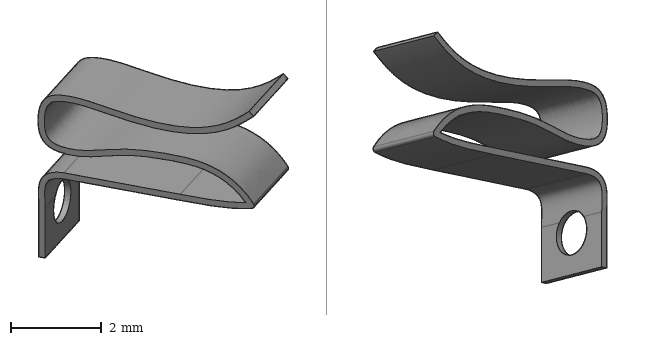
import cadquery as cq
import math

width = 2.0
thickness = 0.152

leg_x = 0.095
leg_straight_top = 1.25
hole_diameter = 1.0
hole_height = 0.95

shelf_z = 2.12
shelf_start_x = 0.62
shelf_end_x = 3.4
leg_bend_point = (0.19, 1.97)
tip = (5.09, 2.245)
tip_rise_angle = 14.0

lower_throat = (3.14, 3.065)
heel_bottom = (0.74, 2.742)
heel_back = (0.075, 3.36)
heel_top = (0.74, 4.04)
upper_throat = (3.16, 3.785)
arm_points = [
    tip,
    (4.59, 2.735),
    (3.95, 3.00),
    lower_throat,
    (1.95, 2.96),
    (1.25, 2.79),
    heel_bottom,
    (0.215, 2.905),
    heel_back,
    (0.25, 3.915),
    heel_top,
    (1.57, 3.948),
    (2.40, 3.825),
    upper_throat,
    (4.11, 3.925),
    (4.70, 4.205),
    (5.20, 4.595),
]
arm_start_angle = 125.0
arm_end_angle = 39.0

lip_top_corner = (5.05, 4.555)
lip_cut_angle = -43.0
lip_cut_size = 1.0

offset_steps = 60


def direction(angle):
    """Unit vector in the XZ profile plane, angle in degrees from +X toward +Z."""
    return (math.cos(math.radians(angle)), math.sin(math.radians(angle)))


def in_profile(point):
    """Vector in the XZ profile plane."""
    return cq.Vector(point[0], 0, point[1])


def curve(points, start_angle, end_angle):
    """Smooth centreline edge through the points with given end directions."""
    tangents = [in_profile(direction(start_angle)), in_profile(direction(end_angle))]
    return cq.Edge.makeSpline([in_profile(point) for point in points], tangents=tangents, scale=False)


def line(start, end):
    """Straight centreline edge."""
    return cq.Edge.makeLine(in_profile(start), in_profile(end))


def offset_edge(edge, distance):
    """Edge running beside a centreline edge, on its left for a positive distance."""
    straight = edge.geomType() == "LINE"
    steps = 1 if straight else offset_steps
    params = [step / steps for step in range(steps + 1)]
    tangents = [edge.tangentAt(param) for param in params]
    points = [
        edge.positionAt(param) + cq.Vector(-tangent.z, 0, tangent.x) * distance
        for param, tangent in zip(params, tangents)
    ]
    if straight:
        return cq.Edge.makeLine(*points)
    return cq.Edge.makeSpline(points, tangents=[tangents[0], tangents[-1]], scale=False)


def make_strip(centreline):
    """Strip of constant thickness along a chain of tangent edges, centred on Y = 0."""
    left = [offset_edge(edge, thickness / 2) for edge in centreline]
    right = [offset_edge(edge, -thickness / 2) for edge in centreline]
    start_cap = cq.Edge.makeLine(left[0].startPoint(), right[0].startPoint())
    end_cap = cq.Edge.makeLine(left[-1].endPoint(), right[-1].endPoint())
    outline = cq.Wire.assembleEdges(left + [end_cap] + right[::-1] + [start_cap])
    side_face = cq.Face.makeFromWires(outline).translate((0, -width / 2, 0))
    return cq.Workplane(cq.Solid.extrudeLinear(side_face, cq.Vector(0, width, 0)))


def make_mount():
    """Leg, bend and shelf as one strip."""
    leg_top = (leg_x, leg_straight_top)
    shelf_start = (shelf_start_x, shelf_z)
    shelf_end = (shelf_end_x, shelf_z)
    centreline = [
        line((leg_x, 0), leg_top),
        curve([leg_top, leg_bend_point, shelf_start], 90, 0),
        line(shelf_start, shelf_end),
        curve([shelf_end, tip], 0, tip_rise_angle),
    ]
    return make_strip(centreline)


def make_arm():
    """S-shaped spring arm from the tip fold to the lip."""
    return make_strip([curve(arm_points, arm_start_angle, arm_end_angle)])


def make_tip_round():
    """Rounded outside of the sharp fold joining shelf and arm."""
    return cq.Workplane("XZ").center(*tip).circle(thickness / 2).extrude(width / 2, both=True)


def make_lip_cutter():
    """Block whose lower-left face trims the free end of the lip."""
    return (
        cq.Workplane("XY")
        .box(lip_cut_size, 2 * width, lip_cut_size, centered=(False, True, True))
        .rotate((0, 0, 0), (0, 1, 0), -(lip_cut_angle + 90))
        .translate((lip_top_corner[0], 0, lip_top_corner[1]))
    )


def make_hole_cutter():
    """Cylinder along X through the leg."""
    return (
        cq.Workplane("YZ", origin=(leg_x, 0, 0))
        .center(0, hole_height)
        .circle(hole_diameter / 2)
        .extrude(thickness, both=True)
    )


result = (
    make_mount()
    .union(make_arm())
    .union(make_tip_round())
    .cut(make_lip_cutter())
    .cut(make_hole_cutter())
)